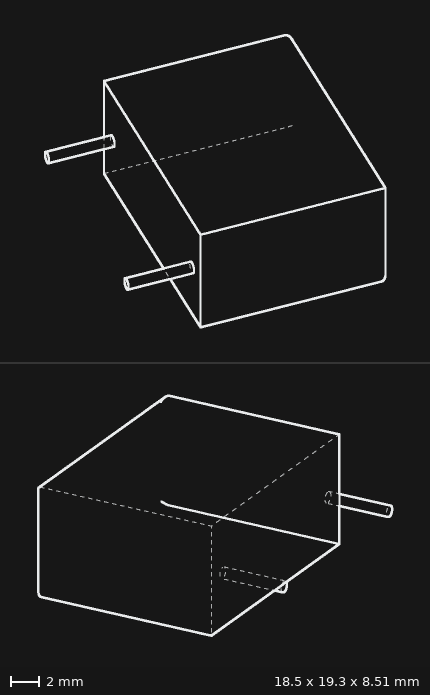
import cadquery as cq

case_width = 18.5
overall_depth = 19.3
case_height = 8.51
back_edge_radius = 0.5

lead_length = 5.0
lead_diameter = 0.85
lead_spacing = 15.2

case_depth = overall_depth - lead_length


def make_case():
    """Box with the four edges around its back face rounded."""
    box = cq.Workplane("XY").box(case_width, case_depth, case_height, centered=(True, False, True))
    return box.faces(">Y").edges().fillet(back_edge_radius)


def make_lead(x):
    """Straight round wire running in -Y from the lead face."""
    return cq.Workplane("XZ").center(x, 0).circle(lead_diameter / 2).extrude(lead_length)


case = make_case()
leads = [make_lead(side * lead_spacing / 2) for side in (-1, 1)]

result = cq.Compound.makeCompound([case.val(), *[lead.val() for lead in leads]])